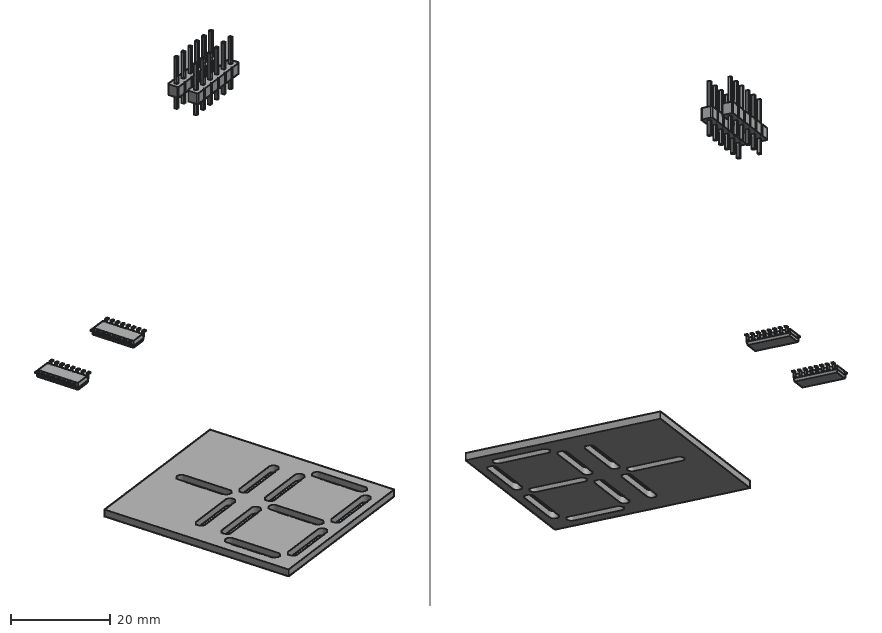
import cadquery as cq

plate_length = 44.4
plate_width = 38.9
plate_thickness = 1.6
plate_x = 81.8
plate_z = 1.8

slot_length = 12.9
slot_width = 2.1
digit_pitch = 16.0
digit_right_margin = 3.0
sign_gap = 6.2

chip_length = 10.0
chip_body_width = 3.8
chip_body_height = 1.6
chip_parting_z = 0.7
chip_taper = 0.2
chip_center_x = 42.6
chip_centers_y = (44.4, 64.8)

lead_count = 8
lead_pitch = 1.27
lead_width = 0.5
lead_thickness = 0.2
lead_foot = 0.7
lead_span = 6.2
lead_top_z = 1.8
lead_embed = 0.2

header_count = 2
header_spacing = 4.7
header_end_y = 163.2
strip_length = 15.2
pin_count = 6
pin_pitch = strip_length / pin_count
pin_width = 0.64
pin_length = 11.9
housing_width = pin_pitch
housing_height = pin_pitch
housing_bottom = 3.3
housing_chamfer = 0.25


def make_slots(centers, angle):
    """Cutters for equal rounded slots through the plate."""
    return (
        cq.Workplane(origin=(0, 0, plate_z))
        .pushPoints(centers)
        .slot2D(slot_length, slot_width, angle)
        .extrude(plate_thickness)
    )


def make_plate():
    """Flat plate with the ten segment slots cut through it."""
    half_pitch = digit_pitch / 2
    middle_y = plate_width / 2
    right_x = plate_x + plate_length - digit_right_margin
    left_x = right_x - digit_pitch
    sign_x = left_x - sign_gap

    level_centers = [(right_x - half_pitch, middle_y + row * digit_pitch) for row in (-1, 0, 1)]
    level_centers.append((sign_x - half_pitch, middle_y))
    upright_centers = [
        (x, middle_y + side * half_pitch)
        for x in (sign_x, left_x, right_x)
        for side in (-1, 1)
    ]

    blank = cq.Workplane(origin=(plate_x, 0, plate_z)).box(
        plate_length, plate_width, plate_thickness, centered=False
    )
    return blank.cut(make_slots(level_centers, 0)).cut(make_slots(upright_centers, 90))


def make_lead(x, side):
    """One bent lead: out of the body at the parting level, up, then outward as a foot."""
    root_y = chip_body_width / 2 - lead_embed
    tip_y = lead_span / 2
    bend_y = tip_y - lead_foot
    foot_bottom_z = lead_top_z - lead_thickness
    points = [
        (root_y, chip_parting_z),
        (bend_y, chip_parting_z),
        (bend_y, foot_bottom_z),
        (tip_y, foot_bottom_z),
        (tip_y, lead_top_z),
        (bend_y - lead_thickness, lead_top_z),
        (bend_y - lead_thickness, chip_parting_z + lead_thickness),
        (root_y, chip_parting_z + lead_thickness),
    ]
    outline = [(side * y, z) for y, z in points]
    return (
        cq.Workplane("YZ", origin=(x, 0, 0))
        .polyline(outline)
        .close()
        .extrude(lead_width / 2, both=True)
    )


def make_body_half(face_offset):
    """Half of the chip body, tapering from the parting level to a flat face."""
    return (
        cq.Workplane(origin=(0, 0, chip_parting_z))
        .rect(chip_length, chip_body_width)
        .workplane(offset=face_offset)
        .rect(chip_length - 2 * chip_taper, chip_body_width - 2 * chip_taper)
        .loft(ruled=True)
    )


def make_chip():
    """Chip centred on the Z axis, with a row of leads along each long side."""
    lower_half = make_body_half(-chip_parting_z)
    upper_half = make_body_half(chip_body_height - chip_parting_z)
    body = lower_half.union(upper_half)
    first_lead_x = -(lead_count - 1) / 2 * lead_pitch
    leads = [
        make_lead(first_lead_x + i * lead_pitch, side).val()
        for side in (-1, 1)
        for i in range(lead_count)
    ]
    return cq.Workplane(body.val().fuse(*leads).Solids()[0])


def make_header_cell(y):
    """One housing block with its pin."""
    block = (
        cq.Workplane(origin=(housing_width / 2, y, housing_bottom))
        .rect(housing_width, pin_pitch)
        .extrude(housing_height)
        .edges("|Z")
        .chamfer(housing_chamfer)
    )
    pin = (
        cq.Workplane(origin=(housing_width / 2, y, 0))
        .rect(pin_width, pin_width)
        .extrude(pin_length)
    )
    return block.union(pin)


def make_header():
    """Row of cells joined into one strip."""
    first_pin_y = header_end_y - strip_length + pin_pitch / 2
    cells = [make_header_cell(first_pin_y + i * pin_pitch).val() for i in range(pin_count)]
    strip = cells[0].fuse(*cells[1:]).clean()
    return cq.Workplane(strip.Solids()[0])


plate = make_plate()
chip = make_chip()
chips = [chip.translate((chip_center_x, y, 0)) for y in chip_centers_y]
header = make_header()
headers = [header.translate((i * header_spacing, 0, 0)) for i in range(header_count)]

result = cq.Compound.makeCompound(
    [
        plate.val(),
        *[each.val() for each in chips],
        *[each.val() for each in headers],
    ]
)